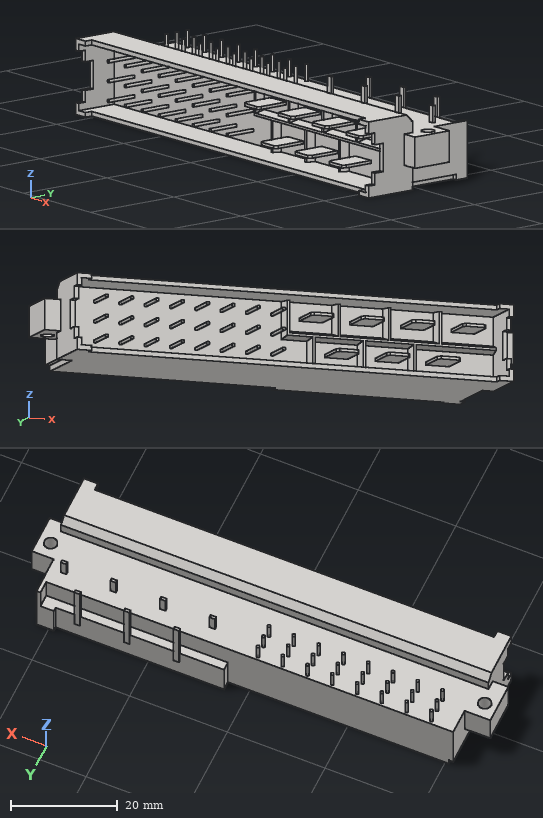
import cadquery as cq
length = 93.95

shroud_width = 87.6
shroud_depth = 10.5
shroud_height = 14.7
shroud_rear_chamfer = 1.4
wall = 0.9
cavity_depth = 8.5
corner_width = 2.9
notch_depth = 1.5
notch_height = 10.0
deep_notch_depth = 3.5
deep_notch_height = 5.45

body_left = -41.7
body_right = 42.5
body_height = 11.1
body_rear = 22.1
base_step_inset = 0.9
base_step_height = 1.1

ear_front = 8.55
ear_rear = 16.8
ear_bottom = 5.1
ear_hole_diameter = 2.5
ear_hole_inset = 2.5
ear_hole_y = 13.7

ledge_start = 4.4
ledge_rear = 23.9
ledge_height = 6.6
end_block_start = 38.9
end_wall_thickness = 0.8
part_rear = 24.7

pitch = 5.1
row_pitch = 3.805
tail_row_pitch = 2.5
signal_columns = 8
signal_rows = 3
signal_diameter = 0.6
first_signal_x = -36.9
contact_tip = 2.35
first_tail_y = 16.3
tail_top = 14.4

power_pitch = 2 * pitch
upper_blade_count = 4
lower_blade_count = 3
first_upper_blade_x = 6.3
blade_width = 4.6
blade_thickness = 0.6
blade_tip = 1.8
blade_tip_chamfer_width = 0.5
blade_tip_chamfer_length = 0.75
upper_blade_offset = 3.2
lower_blade_offset = 3.4
power_tail_width = 1.1
power_tail_offset = 2.7
power_tail_y = 18.7

rib_base = 1.7
rib_top = 0.5
rib_height = 1.6

middle_z = shroud_height / 2
lower_blade_z = middle_z - lower_blade_offset
upper_blade_z = middle_z + upper_blade_offset
upper_blade_x = [first_upper_blade_x + i * power_pitch for i in range(upper_blade_count)]
lower_blade_x = [first_upper_blade_x + pitch + i * power_pitch for i in range(lower_blade_count)]


def block(x_range, y_range, z_range):
    """Box between the given limits along each axis."""
    size = [end - start for start, end in (x_range, y_range, z_range)]
    corner = (x_range[0], y_range[0], z_range[0])
    return cq.Workplane("XY").box(*size, centered=False).translate(corner)


def centered_block(width, y_range, z_range):
    """Box symmetric about X = 0."""
    return block((-width / 2, width / 2), y_range, z_range)


def make_shroud():
    shroud = centered_block(shroud_width, (0, shroud_depth), (0, shroud_height))
    shroud = shroud.faces(">Y").edges(">Z").chamfer(shroud_rear_chamfer)
    cavity = centered_block(shroud_width - 2 * wall, (0, cavity_depth), (wall, shroud_height - wall))
    lip_cut = centered_block(shroud_width - 2 * corner_width, (0, notch_depth), (0, shroud_height))
    shroud = shroud.cut(cavity).cut(lip_cut)
    for depth, height in ((notch_depth, notch_height), (deep_notch_depth, deep_notch_height)):
        notch_z = (middle_z - height / 2, middle_z + height / 2)
        shroud = shroud.cut(centered_block(shroud_width, (0, depth), notch_z))
    return shroud


def make_body():
    body_y = (shroud_depth, body_rear)
    base_x = (body_left + base_step_inset, body_right - base_step_inset)
    lower = block(base_x, body_y, (0, base_step_height))
    upper = block((body_left, body_right), body_y, (base_step_height, body_height))
    ears = centered_block(length, (ear_front, ear_rear), (ear_bottom, body_height))
    hole_x = length / 2 - ear_hole_inset
    holes = (
        cq.Workplane("XY")
        .pushPoints([(-hole_x, ear_hole_y), (hole_x, ear_hole_y)])
        .circle(ear_hole_diameter / 2)
        .extrude(body_height)
    )
    return lower.union(upper).union(ears).cut(holes)


def make_ledge():
    ledge = block((ledge_start, body_right), (body_rear, ledge_rear), (0, ledge_height))
    end_block = block((end_block_start, body_right), (body_rear, part_rear), (0, ledge_height))
    end_wall = block((body_right - end_wall_thickness, body_right), (body_rear, part_rear), (0, body_height))
    return ledge.union(end_block).union(end_wall)


def tapered_rib(x_range, z_range):
    """Rib rising from the cavity floor; the limits are those of its top, and its sides flare to the base."""
    flare = (rib_base - rib_top) / 2
    width = x_range[1] - x_range[0]
    height = z_range[1] - z_range[0]
    top_center = ((x_range[0] + x_range[1]) / 2, cavity_depth - rib_height, (z_range[0] + z_range[1]) / 2)
    return (
        cq.Workplane(cq.Plane(top_center, xDir=(1, 0, 0), normal=(0, -1, 0)))
        .rect(width, height)
        .workplane(offset=-rib_height)
        .rect(width + 2 * flare, height + 2 * flare)
        .loft(ruled=True)
    )


def make_ribs():
    half = rib_top / 2
    rib_x = upper_blade_x[0] - pitch
    ribs = tapered_rib((rib_x - half, shroud_width / 2 - wall), (middle_z - half, middle_z + half))
    for blade_x in upper_blade_x:
        x = blade_x - pitch
        ribs = ribs.union(tapered_rib((x - half, x + half), (middle_z - half, shroud_height - wall)))
    for blade_x in lower_blade_x:
        x = blade_x - pitch
        ribs = ribs.union(tapered_rib((x - half, x + half), (wall, middle_z + half)))
    inside = centered_block(shroud_width - wall, (0, cavity_depth), (wall / 2, shroud_height - wall / 2))
    return ribs.intersect(inside)


def make_signal_contacts():
    columns = [first_signal_x + i * pitch for i in range(signal_columns)]
    pin_points = [(x, middle_z + (j - 1) * row_pitch) for x in columns for j in range(signal_rows)]
    tail_points = [(x, first_tail_y + j * tail_row_pitch) for x in columns for j in range(signal_rows)]
    pins = (
        cq.Workplane("XZ", origin=(0, contact_tip, 0))
        .pushPoints(pin_points)
        .circle(signal_diameter / 2)
        .extrude(contact_tip - shroud_depth)
    )
    tails = (
        cq.Workplane("XY", origin=(0, 0, middle_z))
        .pushPoints(tail_points)
        .circle(signal_diameter / 2)
        .extrude(tail_top - middle_z)
    )
    return pins, tails


def make_blade(x, z):
    """Flat blade with its two tip corners cut off."""
    half_width = blade_width / 2
    tip_half_width = half_width - blade_tip_chamfer_width
    shoulder = blade_tip + blade_tip_chamfer_length
    return (
        cq.Workplane("XY", origin=(x, 0, z))
        .moveTo(-half_width, shroud_depth)
        .lineTo(-half_width, shoulder)
        .lineTo(-tip_half_width, blade_tip)
        .lineTo(tip_half_width, blade_tip)
        .lineTo(half_width, shoulder)
        .lineTo(half_width, shroud_depth)
        .close()
        .extrude(blade_thickness / 2, both=True)
    )


def make_power_tail(x, y, bottom):
    return block(
        (x - power_tail_width / 2, x + power_tail_width / 2),
        (y - blade_thickness / 2, y + blade_thickness / 2),
        (bottom, tail_top),
    )


result = make_shroud().union(make_body()).union(make_ledge()).union(make_ribs())
for contacts in make_signal_contacts():
    result = result.union(contacts)
for x in upper_blade_x:
    result = result.union(make_blade(x, upper_blade_z))
    result = result.union(make_power_tail(x + power_tail_offset, power_tail_y, upper_blade_z))
for x in lower_blade_x:
    result = result.union(make_blade(x, lower_blade_z))
    result = result.union(make_power_tail(x + power_tail_offset, ledge_rear, lower_blade_z))